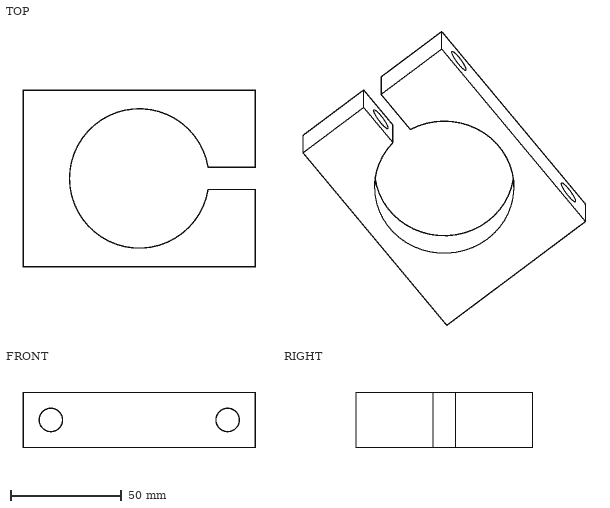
import cadquery as cq

length = 105.0
width = 80.0
height = 25.0

bore_diameter = 63.0
slot_width = 10.0

bolt_hole_diameter = 10.5
bolt_end_distance = 12.5
bolt_offset = length / 2 - bolt_end_distance


def make_block():
    return cq.Workplane("XY").box(length, width, height)


def make_bore():
    return cq.Workplane("XY").circle(bore_diameter / 2).extrude(height / 2, both=True)


def make_slot():
    """Slot from the bore axis out through the +X face."""
    return cq.Workplane("XY").box(length / 2, slot_width, height, centered=(False, True, True))


def make_bolt_holes():
    """Two through holes along Y at mid-height."""
    return (
        cq.Workplane("XZ")
        .pushPoints([(-bolt_offset, 0), (bolt_offset, 0)])
        .circle(bolt_hole_diameter / 2)
        .extrude(width / 2, both=True)
    )


result = make_block().cut(make_bore()).cut(make_slot()).cut(make_bolt_holes())